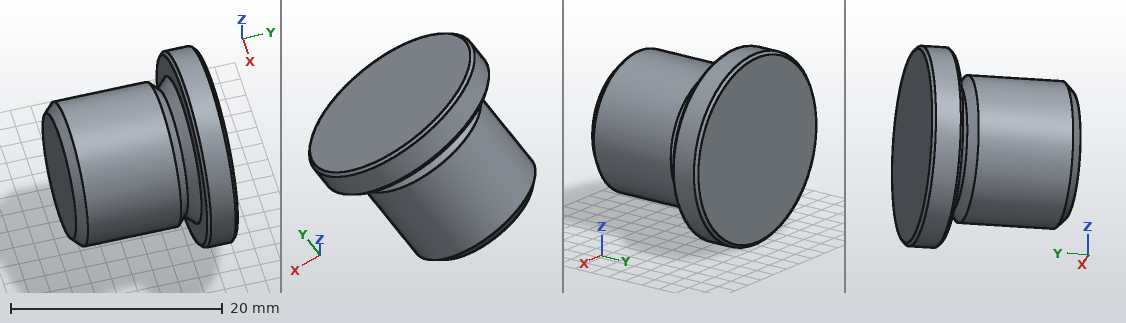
import cadquery as cq

flange_diameter = 19.0
flange_thickness = 3.0
flange_chamfer = 0.3
shank_diameter = 14.0
shank_chamfer = 0.91
neck_cone_length = 1.05
total_length = 15.0

flange_radius = flange_diameter / 2
shank_radius = shank_diameter / 2
neck_radius = shank_radius - shank_chamfer
cone_base_radius = neck_radius + neck_cone_length
flange_front = total_length - flange_thickness
neck_position = flange_front - neck_cone_length

profile = [
    (0, 0),
    (shank_radius - shank_chamfer, 0),
    (shank_radius, shank_chamfer),
    (shank_radius, neck_position - shank_chamfer),
    (neck_radius, neck_position),
    (cone_base_radius, flange_front),
    (flange_radius - flange_chamfer, flange_front),
    (flange_radius, flange_front + flange_chamfer),
    (flange_radius, total_length - flange_chamfer),
    (flange_radius - flange_chamfer, total_length),
    (0, total_length),
]

result = cq.Workplane("XY").polyline(profile).close().revolve(360, (0, 0, 0), (0, 1, 0))